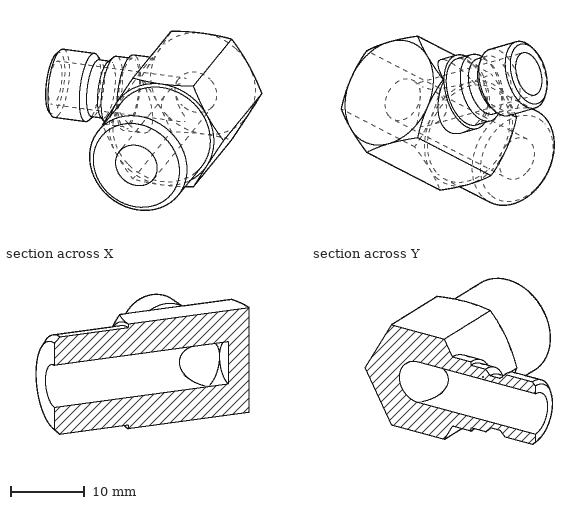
import cadquery as cq
import math

total_length = 29.0
hex_flats = 15.0
hex_length = 18.05
hex_chamfer_angle = 30.0
spigot_radius = 7.0
spigot_chamfer = 0.8
bore_radius = 3.0

nipple_tip = 19.17
nipple_from_back = 6.05
nipple_radius = 4.7
nipple_chamfer = 0.5
nipple_land = 4.5
groove_depth = 0.78
groove_floor = 1.57
collar_radius = 5.2

hex_corner_radius = hex_flats / math.sqrt(3)
back_y = total_length / 2
shoulder_y = back_y - hex_length
front_y = -total_length / 2
nipple_y = back_y - nipple_from_back


def make_hex_body():
    """Hexagonal bar with its corners turned off conically at both ends."""
    bar = (
        cq.Workplane("XZ", origin=(0, back_y, 0))
        .polygon(6, 2 * hex_corner_radius)
        .extrude(hex_length)
    )
    face_radius = hex_flats / 2
    drop = (hex_corner_radius - face_radius) * math.tan(math.radians(hex_chamfer_angle))
    envelope = (
        cq.Workplane("XY")
        .moveTo(0, shoulder_y)
        .lineTo(face_radius, shoulder_y)
        .lineTo(hex_corner_radius, shoulder_y + drop)
        .lineTo(hex_corner_radius, back_y - drop)
        .lineTo(face_radius, back_y)
        .lineTo(0, back_y)
        .close()
        .revolve(360, (0, 0, 0), (0, 1, 0))
    )
    return bar.intersect(envelope)


def make_spigot():
    """Round end with a chamfered front edge."""
    return (
        cq.Workplane("XZ", origin=(0, shoulder_y, 0))
        .circle(spigot_radius)
        .extrude(shoulder_y - front_y)
        .faces("<Y")
        .chamfer(spigot_chamfer)
    )


def make_nipple():
    """Grooved side nipple with a collar that runs into the hexagon."""
    groove_radius = nipple_radius - groove_depth
    land_start = -nipple_tip + nipple_chamfer
    groove_start = land_start + nipple_land
    floor_start = groove_start + groove_depth
    floor_end = floor_start + groove_floor
    groove_end = floor_end + groove_depth
    collar_start = -hex_corner_radius
    profile = [
        (-nipple_tip, 0),
        (-nipple_tip, nipple_radius - nipple_chamfer),
        (land_start, nipple_radius),
        (groove_start, nipple_radius),
        (floor_start, groove_radius),
        (floor_end, groove_radius),
        (groove_end, nipple_radius),
        (collar_start, nipple_radius),
        (collar_start, collar_radius),
        (0, collar_radius),
        (0, 0),
    ]
    return (
        cq.Workplane("XY", origin=(0, nipple_y, 0))
        .polyline(profile)
        .close()
        .revolve(360, (0, 0, 0), (1, 0, 0))
    )


def make_bores():
    """Two equal bores meeting in an elbow; the main one stops past the nipple bore."""
    main_end = nipple_y + bore_radius
    main_bore = (
        cq.Workplane("XZ", origin=(0, main_end, 0))
        .circle(bore_radius)
        .extrude(main_end - front_y)
    )
    nipple_bore = (
        cq.Workplane("YZ", origin=(-nipple_tip, nipple_y, 0))
        .circle(bore_radius)
        .extrude(nipple_tip)
    )
    return main_bore.union(nipple_bore)


result = make_hex_body().union(make_spigot()).union(make_nipple()).cut(make_bores())